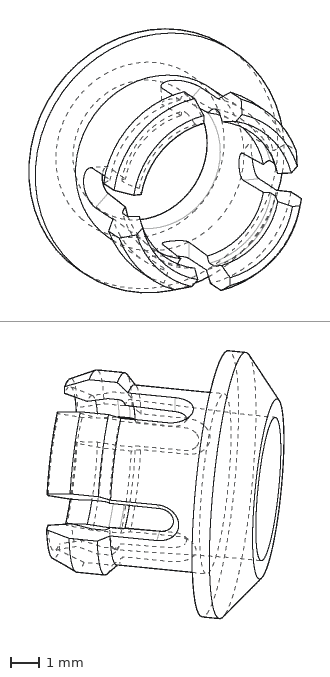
import cadquery as cq

length = 7.35
flange_radius = 4.7
cone_end = 1.27
flange_end = 1.89
body_radius = 3.18

bead_radius = 3.57
bead_start = 5.09
bead_full_start = 5.47
bead_full_end = 6.48

bore_radius = 2.53
bore_taper_end_radius = 2.65
groove_radius = 2.86
groove_start = 5.2
groove_full_start = 5.41
groove_full_end = 5.81
groove_arc_fraction = 0.7
lip_position = 6.54
lip_radius = 2.66
mouth_radius = 2.895

slot_end_center = 3.42
slot_half_width = 0.5
flare_origin = 2.09
slot_inner_distance = 2.26
slot_outer_distance = 3.95
slot_overrun = 0.19


def make_bushing():
    """Revolve the complete wall section about X."""
    arc_middle = (
        groove_start + (1 - groove_arc_fraction) * (groove_full_start - groove_start),
        bore_taper_end_radius + groove_arc_fraction * (groove_radius - bore_taper_end_radius),
    )
    return (
        cq.Workplane("XY")
        .moveTo(0, bore_radius)
        .lineTo(0, body_radius)
        .lineTo(cone_end, flange_radius)
        .lineTo(flange_end, flange_radius)
        .lineTo(flange_end, body_radius)
        .lineTo(bead_start, body_radius)
        .lineTo(bead_full_start, bead_radius)
        .lineTo(bead_full_end, bead_radius)
        .lineTo(length, body_radius)
        .lineTo(length, mouth_radius)
        .lineTo(lip_position, lip_radius)
        .lineTo(groove_full_end, groove_radius)
        .lineTo(groove_full_start, groove_radius)
        .threePointArc(arc_middle, (groove_start, bore_taper_end_radius))
        .lineTo(cone_end, bore_radius)
        .close()
        .revolve(360, (0, 0, 0), (1, 0, 0))
    )


def draw_slot_section(plane, distance):
    """Draw a round-ended slot section at the given distance from the axis."""
    flared_edge = flare_origin - distance
    center_z = (slot_half_width + flared_edge) / 2
    end_radius = (slot_half_width - flared_edge) / 2
    slot_open_end = length + slot_overrun
    return (
        plane.moveTo(slot_open_end, slot_half_width)
        .lineTo(slot_end_center, slot_half_width)
        .threePointArc((slot_end_center - end_radius, center_z), (slot_end_center, flared_edge))
        .lineTo(slot_open_end, flared_edge)
        .close()
    )


def make_front_slot():
    """Make the -Y slot, which widens outward toward -Z."""
    inner_plane = cq.Workplane("XZ").workplane(offset=slot_inner_distance)
    inner_section = draw_slot_section(inner_plane, slot_inner_distance)
    outer_plane = inner_section.workplane(offset=slot_outer_distance - slot_inner_distance)
    return draw_slot_section(outer_plane, slot_outer_distance).loft(ruled=True, combine=True)


axis_start = (0, 0, 0)
axis_end = (1, 0, 0)
front_slot = make_front_slot()
top_slot = front_slot.rotate(axis_start, axis_end, -90).mirror("XZ")

result = make_bushing()
for slot in (front_slot, top_slot):
    result = result.cut(slot)
    result = result.cut(slot.rotate(axis_start, axis_end, 180))